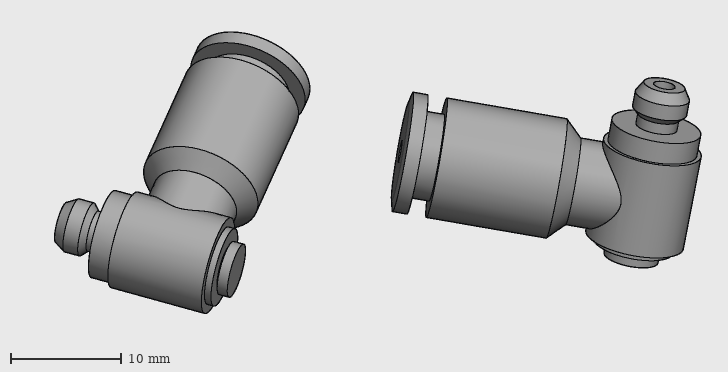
import cadquery as cq


hub_dia = 9.0
collar_dia = 8.2
barb_dia = 5.0
barb_root_dia = 3.8
retainer_dia = 7.3
pin_neck_dia = 4.0
pin_head_dia = 5.0

barb_tip_x = -10.55
barb_front_x = -9.52
barb_back_x = -8.1
barb_root_x = -7.5
collar_x = -6.5
hub_half_length = 4.5
retainer_x = 5.1
pin_head_x = 5.3
pin_end_x = 6.27

branch_dia = 8.0
socket_dia = 11.0
release_face_dia = 9.0

overall_length = 26.9
socket_end_y = overall_length - hub_dia / 2
cone_start_y = 6.48
cone_end_y = 8.02
socket_shoulder_y = 19.05
release_ring_y = 20.82
release_chamfer_height = 0.25

bore_dia = 2.0
bore_cone_depth = 0.56


def stem_and_hub():
    """Barbed plug, collar, hub and retaining pin turned about the X axis."""
    profile = [
        (barb_tip_x, 0),
        (barb_tip_x, barb_root_dia / 2),
        (barb_front_x, barb_dia / 2),
        (barb_back_x, barb_dia / 2),
        (barb_root_x, barb_root_dia / 2),
        (collar_x, barb_root_dia / 2),
        (collar_x, collar_dia / 2),
        (-hub_half_length, collar_dia / 2),
        (-hub_half_length, hub_dia / 2),
        (hub_half_length, hub_dia / 2),
        (hub_half_length, retainer_dia / 2),
        (retainer_x, retainer_dia / 2),
        (retainer_x, pin_neck_dia / 2),
        (pin_head_x, pin_neck_dia / 2),
        (pin_head_x, pin_head_dia / 2),
        (pin_end_x, pin_head_dia / 2),
        (pin_end_x, 0),
    ]
    return cq.Workplane("XY").polyline(profile).close().revolve(360, (0, 0, 0), (1, 0, 0))


def tube_socket():
    """Branch, flared socket body and release ring turned about the Y axis."""
    chamfer_y = socket_end_y - release_chamfer_height
    profile = [
        (0, 0),
        (branch_dia / 2, 0),
        (branch_dia / 2, cone_start_y),
        (socket_dia / 2, cone_end_y),
        (socket_dia / 2, socket_shoulder_y),
        (branch_dia / 2, socket_shoulder_y),
        (branch_dia / 2, release_ring_y),
        (socket_dia / 2, release_ring_y),
        (socket_dia / 2, chamfer_y),
        (release_face_dia / 2, socket_end_y),
        (0, socket_end_y),
    ]
    return cq.Workplane("XY").polyline(profile).close().revolve(360, (0, 0, 0), (0, 1, 0))


def flow_passage():
    """Stem bore with a conical bottom, meeting the branch bore at the origin."""
    stem_profile = [
        (barb_tip_x, 0),
        (barb_tip_x, bore_dia / 2),
        (0, bore_dia / 2),
        (bore_cone_depth, 0),
    ]
    stem_bore = cq.Workplane("XY").polyline(stem_profile).close().revolve(360, (0, 0, 0), (1, 0, 0))
    branch_bore = cq.Workplane("XZ").circle(bore_dia / 2).extrude(-socket_end_y)
    return stem_bore.union(branch_bore)


result = stem_and_hub().union(tube_socket()).cut(flow_passage())